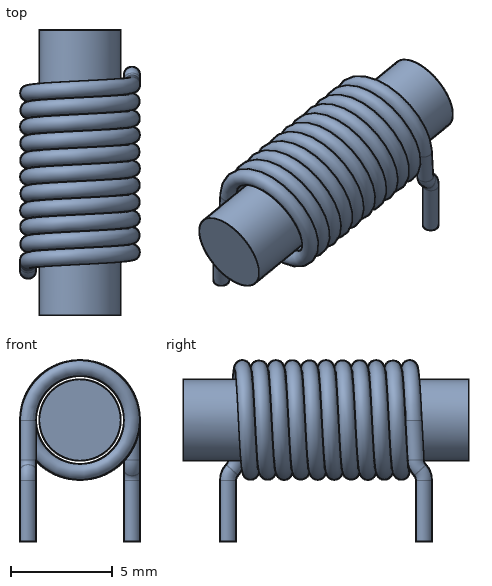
import cadquery as cq
import math


core_length = 14.0
core_diameter = 4.0

wire_diameter = 0.8
wire_radius = wire_diameter / 2
coil_outer_diameter = 5.9
coil_radius = (coil_outer_diameter - wire_diameter) / 2
coil_length = 8.61
turns = 10.5
pitch = coil_length / turns
coil_start_y = -coil_length / 2

total_height = 8.9
lead_end_z = coil_outer_diameter / 2 - total_height
bend_top_z = -1.95
bend_bottom_z = -2.95
lead_y = -4.8

helix_slope = pitch / (2 * math.pi * coil_radius)
bend_top_y = coil_start_y + bend_top_z * helix_slope


def make_core():
    """Plain rod centred on the origin, along Y."""
    return cq.Workplane("XZ").circle(core_diameter / 2).extrude(core_length / 2, both=True)


def wire_section(y, z):
    """Horizontal wire cross-section on the -X side of the coil."""
    return cq.Workplane("XY", origin=(-coil_radius, y, z)).circle(wire_radius)


def make_winding():
    """Helical winding that starts at -X, rises over the top and advances toward +Y."""
    helix = cq.Wire.makeHelix(pitch, coil_length, coil_radius)
    helix = helix.rotate(cq.Vector(0, 0, 0), cq.Vector(1, 0, 0), -90)
    helix = helix.rotate(cq.Vector(0, 0, 0), cq.Vector(0, 1, 0), 180)
    path = cq.Workplane(obj=helix.translate(cq.Vector(0, coil_start_y, 0)))
    return wire_section(coil_start_y, 0).sweep(path, isFrenet=True)


def make_lead_out():
    """Straight stretch between the end of the winding and the S-bend."""
    slope_vector = cq.Vector(0, bend_top_y - coil_start_y, bend_top_z)
    section = wire_section(coil_start_y, 0).wires().val()
    return cq.Workplane(obj=cq.Solid.extrudeLinear(section, [], slope_vector))


def make_lead():
    """S-bend of two equal, opposite arcs followed by the vertical leg."""
    middle_y = (bend_top_y + lead_y) / 2
    middle_z = (bend_top_z + bend_bottom_z) / 2
    bend_offset = bend_top_y - lead_y
    bend_height = bend_top_z - bend_bottom_z
    bend_angle = 2 * math.atan(bend_offset / bend_height)
    bend_radius = bend_height / (2 * math.sin(bend_angle))
    half_bend_y = bend_radius * (1 - math.cos(bend_angle / 2))
    half_bend_z = bend_radius * math.sin(bend_angle / 2)
    path = (
        cq.Workplane("YZ", origin=(-coil_radius, 0, 0))
        .moveTo(bend_top_y, bend_top_z)
        .threePointArc((bend_top_y - half_bend_y, bend_top_z - half_bend_z), (middle_y, middle_z))
        .threePointArc((lead_y + half_bend_y, bend_bottom_z + half_bend_z), (lead_y, bend_bottom_z))
        .lineTo(lead_y, lead_end_z)
    )
    return wire_section(bend_top_y, bend_top_z).sweep(path)


def make_coil():
    """Winding with a lead at each end; the two ends are half a turn apart about Z."""
    coil = make_winding()
    for angle in (0, 180):
        for piece in (make_lead_out(), make_lead()):
            coil = coil.union(piece.rotate((0, 0, 0), (0, 0, 1), angle))
    return coil


core = make_core()
coil = make_coil()
result = cq.Compound.makeCompound([core.val(), coil.solids().val()])